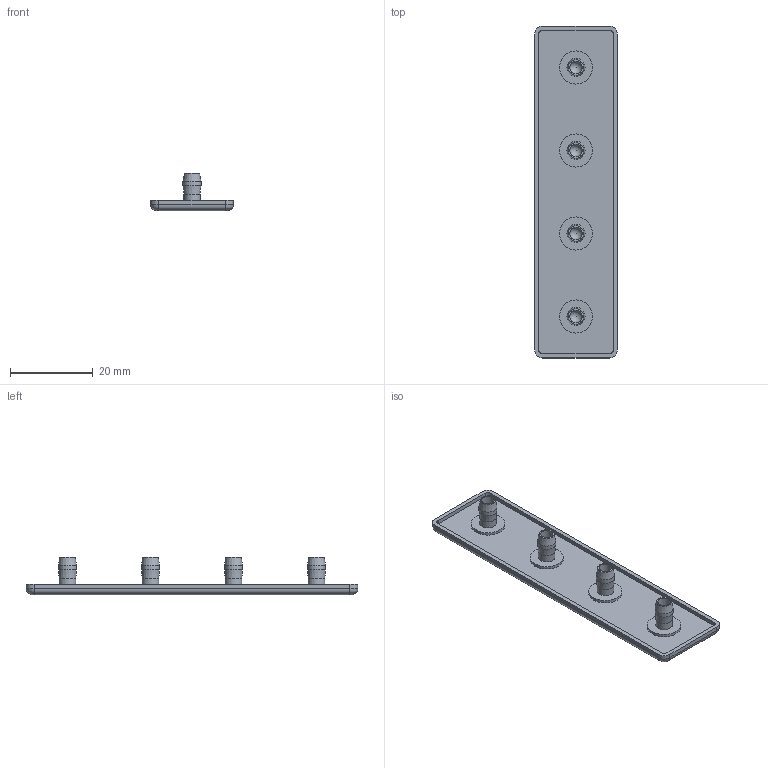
import cadquery as cq
import math

tray_width = 20.0
tray_length = 80.0
tray_height = 2.5
corner_radius = 2.0
bottom_fillet = 1.5
wall = 1.0
floor_top = 1.5

peg_count = 4
peg_pitch = tray_length / peg_count
pad_diameter = 8.0
pad_top = 2.2
shank_diameter = 4.0
barb_diameter = 4.35
tip_diameter = 3.7
shank_top = 4.0
barb_bottom = 6.0
barb_top = 7.0
peg_top = 9.0

bore_diameter = 3.0
bore_bottom = 2.5


def make_tray():
    """Open tray with rounded corners and a rounded bottom edge."""
    outer = (
        cq.Workplane("XY")
        .rect(tray_width, tray_length)
        .extrude(tray_height)
        .edges("|Z")
        .fillet(corner_radius)
        .faces("<Z")
        .edges()
        .fillet(bottom_fillet)
    )
    recess = (
        cq.Workplane("XY")
        .workplane(offset=floor_top)
        .rect(tray_width - 2 * wall, tray_length - 2 * wall)
        .extrude(tray_height - floor_top)
        .edges("|Z")
        .fillet(corner_radius - wall)
    )
    return outer.cut(recess)


def make_peg():
    """Pad and barbed peg as one revolved body about Z, rooted on the tray floor."""
    bore_radius = bore_diameter / 2
    bore_end_center = bore_bottom + bore_radius
    arc_offset = bore_radius * math.sin(math.radians(45))
    return (
        cq.Workplane("YZ")
        .moveTo(0, floor_top)
        .lineTo(pad_diameter / 2, floor_top)
        .lineTo(pad_diameter / 2, pad_top)
        .lineTo(shank_diameter / 2, pad_top)
        .lineTo(shank_diameter / 2, shank_top)
        .lineTo(barb_diameter / 2, barb_bottom)
        .lineTo(barb_diameter / 2, barb_top)
        .lineTo(tip_diameter / 2, peg_top)
        .lineTo(bore_radius, peg_top)
        .lineTo(bore_radius, bore_end_center)
        .threePointArc((arc_offset, bore_end_center - arc_offset), (0, bore_bottom))
        .close()
        .revolve(360, (0, 0, 0), (0, 1, 0))
    )


result = make_tray()
peg = make_peg()
for index in range(peg_count):
    peg_y = (index - (peg_count - 1) / 2) * peg_pitch
    result = result.union(peg.translate((0, peg_y, 0)))